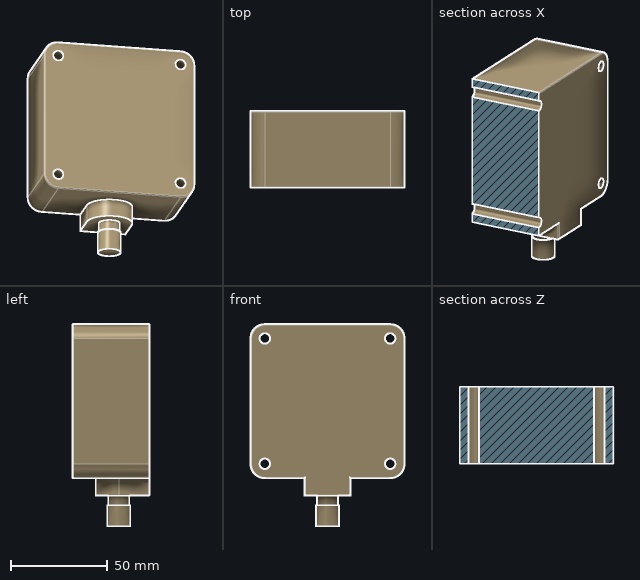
import cadquery as cq

housing_side = 80.0
housing_depth = 40.0
corner_radius = 7.5
edge_round = 0.5

hole_diameter = 5.3
hole_spacing = housing_side - 2 * corner_radius

outlet_width = 24.0
outlet_height = 9.0
outlet_axis_from_front = 16.0

neck_diameter = 11.0
neck_length = 5.0
connector_diameter = 12.0
connector_length = 11.0

front_y = -housing_depth / 2
housing_bottom_z = -housing_side / 2
outlet_axis_y = front_y + outlet_axis_from_front
outlet_bottom_z = housing_bottom_z - outlet_height
neck_bottom_z = outlet_bottom_z - neck_length


def make_housing():
    """Square block with its four Y-direction edges rounded."""
    block = cq.Workplane("XY").box(housing_side, housing_depth, housing_side)
    return block.edges("|Y").fillet(corner_radius)


def make_outlet():
    """Straight-sided block that ends in a half cylinder towards the back."""
    half_width = outlet_width / 2
    return (
        cq.Workplane("XY", origin=(0, 0, outlet_bottom_z))
        .moveTo(-half_width, front_y)
        .lineTo(half_width, front_y)
        .lineTo(half_width, outlet_axis_y)
        .threePointArc((0, outlet_axis_y + half_width), (-half_width, outlet_axis_y))
        .close()
        .extrude(outlet_height)
    )


def make_cylinder_down(diameter, length, top_z):
    """Cylinder on the outlet axis, reaching down from top_z."""
    return cq.Workplane("XY", origin=(0, outlet_axis_y, top_z)).circle(diameter / 2).extrude(-length)


def make_corner_holes():
    """Four cylinders through the full depth of the housing."""
    return (
        cq.Workplane("XZ", origin=(0, front_y, 0))
        .rect(hole_spacing, hole_spacing, forConstruction=True)
        .vertices()
        .circle(hole_diameter / 2)
        .extrude(-housing_depth)
    )


body = make_housing().union(make_outlet())
body = body.faces("<Y or >Y").edges().fillet(edge_round)
body = body.cut(make_corner_holes())

neck = make_cylinder_down(neck_diameter, neck_length, outlet_bottom_z)
connector = make_cylinder_down(connector_diameter, connector_length, neck_bottom_z)

result = body.union(neck).union(connector)